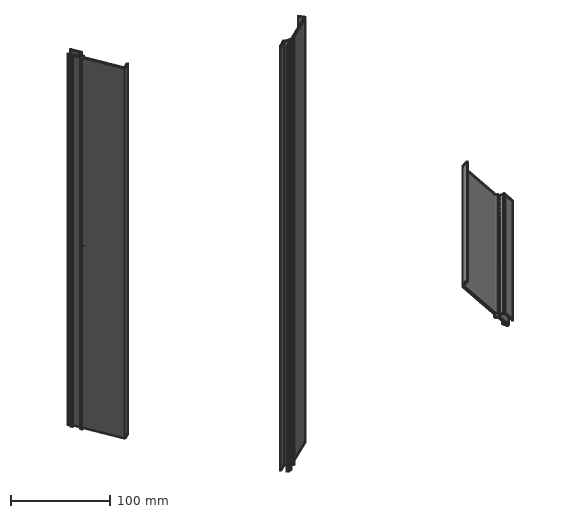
import cadquery as cq

length = 500.0
width = 62.19
depth = 10.3

plate_thickness = 1.4
plate_front = 2.25
plate_back = plate_front + plate_thickness
flange_thickness = 1.4
flange_inside = width - flange_thickness
corner_radius = 2.0

hub_back = 5.3
hub_end = 16.6
hub_fillet = 1.0
plate_start = hub_end + hub_fillet

arm_thickness = 1.0
arm_underside = depth - arm_thickness
arm_tip_radius = arm_thickness / 2
arm_root = 9.8
arm_end = 12.4
arm_end_bottom = 9.0
slot_end = 13.5
slot_side_top = 5.7
hub_shoulder = 15.0

foot_start = 2.8
foot_end = 6.0
foot_bevel_width = 1.3
foot_bevel_height = 1.0
hub_foot_start = 14.1
hub_foot_bevel_width = 0.8
hub_foot_bevel_height = 0.6

lip_thickness = 0.8
lip_bottom = 1.2
lip_bevel_height = 0.5


def draw_slot_and_arm(outline):
    """Draw from the lip along the slot, then around the round-tipped arm to the hub."""
    return (
        outline.lineTo(0, plate_back)
        .lineTo(slot_end, plate_back)
        .lineTo(slot_end, slot_side_top)
        .lineTo(arm_root, arm_underside)
        .lineTo(arm_tip_radius, arm_underside)
        .radiusArc((arm_tip_radius, depth), arm_tip_radius)
        .lineTo(arm_end, depth)
        .lineTo(arm_end, arm_end_bottom)
        .lineTo(hub_shoulder, hub_back)
    )


def draw_plate_and_flange(outline):
    """Draw the hub back, the plate back, the flange and the plate front."""
    return (
        outline.lineTo(hub_end, hub_back)
        .lineTo(hub_end, plate_back + hub_fillet)
        .radiusArc((plate_start, plate_back), -hub_fillet)
        .lineTo(flange_inside, plate_back)
        .lineTo(flange_inside, depth)
        .lineTo(width, depth)
        .lineTo(width, plate_front + corner_radius)
        .radiusArc((width - corner_radius, plate_front), corner_radius)
        .lineTo(plate_start, plate_front)
        .radiusArc((hub_end, plate_front - hub_fillet), -hub_fillet)
    )


def draw_foot(outline, start, end, bevel_width, bevel_height):
    """Draw one foot, from its plate side to its free-edge side."""
    return (
        outline.lineTo(end, 0)
        .lineTo(start + bevel_width, 0)
        .lineTo(start, bevel_height)
        .lineTo(start, plate_front)
    )


def draw_lip(outline):
    """Draw the inside and the bevelled bottom of the lip, closing the outline."""
    return outline.lineTo(lip_thickness, plate_front).lineTo(lip_thickness, lip_bottom).close()


profile = cq.Workplane("XY").moveTo(0, lip_bottom + lip_bevel_height)
profile = draw_slot_and_arm(profile)
profile = draw_plate_and_flange(profile)
profile = draw_foot(profile, hub_foot_start, hub_end, hub_foot_bevel_width, hub_foot_bevel_height)
profile = profile.lineTo(foot_end, plate_front)
profile = draw_foot(profile, foot_start, foot_end, foot_bevel_width, foot_bevel_height)
profile = draw_lip(profile)

result = profile.extrude(length)